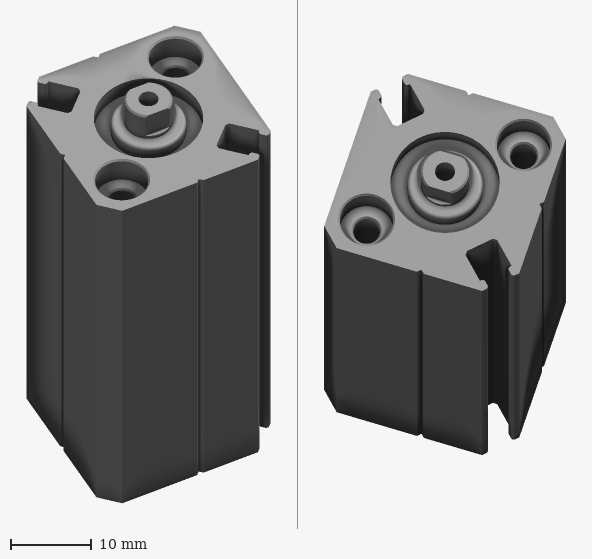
import cadquery as cq
import math


side = 25.0
total_height = 56.5
rod_projection = 3.5
housing_height = total_height - rod_projection
half_side = side / 2
plain_corner_chamfer = 2.4
slot_corner_chamfer = 3.7

slot_mouth_half_width = 1.65
slot_channel_half_width = 2.2
slot_floor_distance = 9.45
slot_lip_inner_distance = 13.75
slot_lip_outer_distance = half_side * math.sqrt(2) - slot_corner_chamfer / math.sqrt(2)
slot_lip_radius = 0.4
slot_floor_chamfer = 0.4
slot_angles = (45, 225)

groove_depth = 0.45
groove_half_width = 0.45
groove_offset = 0.8
groove_angles = (180, 270, 0)

mounting_offset = 7.75
mounting_diameter = 3.35
counterbore_diameter = 6.6
counterbore_depth = 3.5
mounting_edge_chamfer = 0.2

recess_diameter = 13.55
recess_depth = 2.4
boss_diameter = 9.4
boss_drop = 0.5
boss_fillet = 0.45

rod_diameter = 6.0
rod_across_flats = 5.0
rod_embedded_length = 10.0
rod_length = rod_embedded_length + rod_projection
rod_bottom = total_height - rod_length
rod_chamfer = 0.2
rod_hole_diameter = 2.5
rod_hole_depth = 6.0


def cylinder_down(diameter, top, depth):
    """Cylinder on the rod axis reaching down from a given height."""
    return cq.Workplane("XY").workplane(offset=top - depth).circle(diameter / 2).extrude(depth)


def chamfered_block():
    """Square bar with two large (slot) and two small (plain) corner chamfers."""
    near_slot = half_side - slot_corner_chamfer
    near_plain = half_side - plain_corner_chamfer
    outline = [
        (half_side, near_slot),
        (near_slot, half_side),
        (-near_plain, half_side),
        (-half_side, near_plain),
        (-half_side, -near_slot),
        (-near_slot, -half_side),
        (near_plain, -half_side),
        (half_side, -near_plain),
    ]
    return cq.Workplane("XY").polyline(outline).close().extrude(housing_height)


def slot_cutter(angle):
    """T-slot opening along +X, then turned about Z; its lips have rounded edges."""
    radius = slot_lip_radius
    mouth = slot_mouth_half_width
    channel = slot_channel_half_width
    floor = slot_floor_distance
    inner = slot_lip_inner_distance
    outer = slot_lip_outer_distance
    bevel = slot_floor_chamfer
    arc_mid = radius * (1 - math.sqrt(0.5))
    return (
        cq.Workplane("XY")
        .moveTo(outer, -mouth - radius)
        .lineTo(outer, mouth + radius)
        .threePointArc((outer - arc_mid, mouth + arc_mid), (outer - radius, mouth))
        .lineTo(inner + radius, mouth)
        .threePointArc((inner + arc_mid, mouth + arc_mid), (inner, mouth + radius))
        .lineTo(inner, channel)
        .lineTo(floor + bevel, channel)
        .lineTo(floor, channel - bevel)
        .lineTo(floor, bevel - channel)
        .lineTo(floor + bevel, -channel)
        .lineTo(inner, -channel)
        .lineTo(inner, -mouth - radius)
        .threePointArc((inner + arc_mid, -mouth - arc_mid), (inner + radius, -mouth))
        .lineTo(outer - radius, -mouth)
        .threePointArc((outer - arc_mid, -mouth - arc_mid), (outer, -mouth - radius))
        .close()
        .extrude(housing_height)
        .rotate((0, 0, 0), (0, 0, 1), angle)
    )


def groove_cutter(angle, offset):
    """V groove in the +X face at a sideways offset, then turned about Z."""
    outline = [
        (half_side, offset - groove_half_width),
        (half_side - groove_depth, offset),
        (half_side, offset + groove_half_width),
    ]
    return (
        cq.Workplane("XY")
        .polyline(outline)
        .close()
        .extrude(housing_height)
        .rotate((0, 0, 0), (0, 0, 1), angle)
    )


def mounting_hole_cutter(x, y):
    """Counterbored through hole with chamfered edges, turned from its half section."""
    bevel = mounting_edge_chamfer
    hole_radius = mounting_diameter / 2
    bore_radius = counterbore_diameter / 2
    bore_floor = housing_height - counterbore_depth
    half_section = [
        (0, 0),
        (hole_radius, 0),
        (hole_radius, bore_floor - bevel),
        (hole_radius + bevel, bore_floor),
        (bore_radius, bore_floor),
        (bore_radius, housing_height - bevel),
        (bore_radius + bevel, housing_height),
        (0, housing_height),
    ]
    cutter = cq.Workplane("XZ").polyline(half_section).close().revolve(360, (0, 0), (0, 1))
    return cutter.translate((x, y, 0))


def recess_cutter():
    """Round pocket minus the boss that stays standing in it."""
    pocket = cylinder_down(recess_diameter, housing_height, recess_depth)
    boss = cylinder_down(boss_diameter, housing_height - boss_drop, recess_depth - boss_drop)
    return pocket.cut(boss.faces(">Z").edges().fillet(boss_fillet))


def make_housing():
    housing = chamfered_block()
    for angle in slot_angles:
        housing = housing.cut(slot_cutter(angle))
    for angle in groove_angles:
        housing = housing.cut(groove_cutter(angle, groove_offset))
    for sign in (-1, 1):
        housing = housing.cut(mounting_hole_cutter(sign * mounting_offset, -sign * mounting_offset))
    housing = housing.cut(recess_cutter())
    return housing.cut(cylinder_down(rod_diameter, housing_height, housing_height - rod_bottom))


def make_rod():
    """Round rod whose projecting end has two flats and a blind axial hole."""
    rod = cylinder_down(rod_diameter, total_height, rod_length)
    rod = rod.faces(">Z").edges().chamfer(rod_chamfer)
    flat_depth = (rod_diameter - rod_across_flats) / 2
    for sign in (-1, 1):
        flat_centre = sign * (rod_across_flats + flat_depth) / 2
        flat = (
            cq.Workplane("XY")
            .workplane(offset=housing_height)
            .center(flat_centre, 0)
            .rect(flat_depth, rod_diameter)
            .extrude(rod_projection)
        )
        rod = rod.cut(flat)
    return rod.cut(cylinder_down(rod_hole_diameter, total_height, rod_hole_depth))


housing = make_housing()
rod = make_rod()

result = cq.Compound.makeCompound([housing.val(), rod.val()])